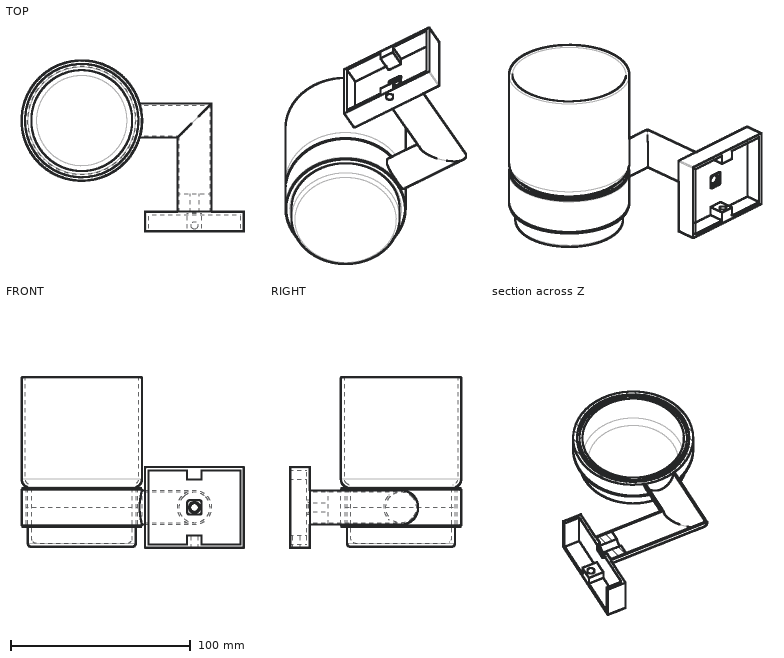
import cadquery as cq
import math


OVERALL_WIDTH = 123.6

TUMBLER_RADIUS = 33.5
NECK_RADIUS = 30.0
TUMBLER_WALL = 2.0
TUMBLER_TOP = 95.0
TUMBLER_BOTTOM = 0.6
SHOULDER_TOP = 38.3
SHOULDER_RADIUS = 5.0
NECK_FILLET = 1.0
BASE_FILLET = 1.9
FLOOR_THICKNESS = 2.0
FLOOR_FILLET = 3.0

PLATE_WIDTH = 55.0
PLATE_HEIGHT = 45.0
PLATE_DEPTH = 11.0
PLATE_WALL = 2.0
PLATE_FLOOR = 2.0
PLATE_EDGE = 0.5
PLATE_X = OVERALL_WIDTH - TUMBLER_RADIUS - PLATE_WIDTH / 2
WALL_Y = -61.5
BOSS_WIDTH = 8.0
BOSS_HEIGHT = 5.1
BOSS_HOLE_DIAMETER = 4.0
BOSS_HOLE_SETBACK = 3.3
SOCKET_SIZE = 8.0
SOCKET_CORNER = 1.5

AXIS_HEIGHT = PLATE_HEIGHT / 2
RING_HEIGHT = 19.9
RING_EDGE = 0.5
LINER_THICKNESS = 1.0
FLANGE_RADIUS = TUMBLER_RADIUS - RING_EDGE
RING_BORE_RADIUS = NECK_RADIUS + LINER_THICKNESS

ARM_RADIUS = 9.5
ARM_WALL = 1.0
ARM_BORE_RADIUS = ARM_RADIUS - ARM_WALL
PLUG_LENGTH = 9.9
SPIGOT_LENGTH = 1.0
SCREW_HOLE_DIAMETER = 5.0
SCREW_HOLE_CHAMFER = 0.5

PLATE_BACK_Y = WALL_Y + PLATE_DEPTH
PLATE_FLOOR_Y = PLATE_BACK_Y - PLATE_FLOOR


def arc_point(center, radius, degrees):
    """Point of a circle in the (radius, height) half-plane."""
    angle = math.radians(degrees)
    return (center[0] + radius * math.cos(angle), center[1] + radius * math.sin(angle))


def make_tumbler():
    shoulder_center = (TUMBLER_RADIUS - SHOULDER_RADIUS, SHOULDER_TOP)
    center_distance = SHOULDER_RADIUS + NECK_FILLET
    step = NECK_RADIUS + NECK_FILLET - shoulder_center[0]
    sweep = math.degrees(math.acos(step / center_distance))
    neck_center = (shoulder_center[0] + step, SHOULDER_TOP - math.sqrt(center_distance**2 - step**2))
    inner_shoulder = SHOULDER_RADIUS - TUMBLER_WALL
    inner_neck = NECK_FILLET + TUMBLER_WALL

    bore_radius = NECK_RADIUS - TUMBLER_WALL
    floor_z = TUMBLER_BOTTOM + FLOOR_THICKNESS
    base_center = (NECK_RADIUS - BASE_FILLET, TUMBLER_BOTTOM + BASE_FILLET)
    floor_center = (bore_radius - FLOOR_FILLET, floor_z + FLOOR_FILLET)
    rim_radius = TUMBLER_WALL / 2
    rim_center = (TUMBLER_RADIUS - rim_radius, TUMBLER_TOP - rim_radius)

    profile = (
        cq.Workplane("XZ")
        .moveTo(0, TUMBLER_BOTTOM)
        .lineTo(base_center[0], TUMBLER_BOTTOM)
        .threePointArc(arc_point(base_center, BASE_FILLET, -45), arc_point(base_center, BASE_FILLET, 0))
        .lineTo(NECK_RADIUS, neck_center[1])
        .threePointArc(
            arc_point(neck_center, NECK_FILLET, 180 - sweep / 2),
            arc_point(neck_center, NECK_FILLET, 180 - sweep),
        )
        .threePointArc(
            arc_point(shoulder_center, SHOULDER_RADIUS, -sweep / 2),
            arc_point(shoulder_center, SHOULDER_RADIUS, 0),
        )
        .lineTo(TUMBLER_RADIUS, rim_center[1])
        .threePointArc(arc_point(rim_center, rim_radius, 90), arc_point(rim_center, rim_radius, 180))
        .lineTo(TUMBLER_RADIUS - TUMBLER_WALL, SHOULDER_TOP)
        .threePointArc(
            arc_point(shoulder_center, inner_shoulder, -sweep / 2),
            arc_point(shoulder_center, inner_shoulder, -sweep),
        )
        .threePointArc(
            arc_point(neck_center, inner_neck, 180 - sweep / 2),
            arc_point(neck_center, inner_neck, 180),
        )
        .lineTo(bore_radius, floor_center[1])
        .threePointArc(arc_point(floor_center, FLOOR_FILLET, -45), arc_point(floor_center, FLOOR_FILLET, -90))
        .lineTo(0, floor_z)
        .close()
    )
    return profile.revolve(360, (0, 0, 0), (0, 1, 0))


def make_ring():
    return (
        cq.Workplane("XY", origin=(0, 0, AXIS_HEIGHT - RING_HEIGHT / 2))
        .circle(TUMBLER_RADIUS)
        .extrude(RING_HEIGHT)
        .edges()
        .fillet(RING_EDGE)
        .faces("<Z")
        .workplane()
        .circle(RING_BORE_RADIUS)
        .cutThruAll()
    )


def make_upper_liner():
    """Flanged sleeve in the upper half of the ring, with a rounded mouth."""
    sleeve_height = RING_HEIGHT / 2
    sleeve = cq.Workplane("XY", origin=(0, 0, AXIS_HEIGHT)).circle(RING_BORE_RADIUS).extrude(sleeve_height)
    flange = (
        cq.Workplane("XY", origin=(0, 0, AXIS_HEIGHT + sleeve_height))
        .circle(FLANGE_RADIUS)
        .extrude(LINER_THICKNESS)
    )
    bored = sleeve.union(flange).faces(">Z").workplane().circle(NECK_RADIUS).cutThruAll()
    return bored.faces(">Z").edges(cq.selectors.RadiusNthSelector(0)).fillet(NECK_FILLET)


def make_liners():
    """Two equal liners facing each other across the middle plane of the ring."""
    upper = make_upper_liner().val()
    liners = []
    for turn in (0, 180):
        liners.append(upper.rotate((0, 0, AXIS_HEIGHT), (1, 0, AXIS_HEIGHT), turn))
    return liners


def mitred_elbow(radius):
    """Round bar along +X from the tumbler axis, mitred into a leg towards the wall plate."""
    path = cq.Workplane("XY", origin=(0, 0, AXIS_HEIGHT)).polyline(
        [(0, 0), (PLATE_X, 0), (PLATE_X, PLATE_BACK_Y)]
    )
    return cq.Workplane("YZ", origin=(0, 0, AXIS_HEIGHT)).circle(radius).sweep(path, transition="right")


def make_arm():
    ring_envelope = cq.Workplane("XY").circle(TUMBLER_RADIUS).extrude(PLATE_HEIGHT)
    return mitred_elbow(ARM_RADIUS).cut(mitred_elbow(ARM_BORE_RADIUS)).cut(ring_envelope)


def socket_prism(start_y, length):
    """Square bar with rounded corners on the arm axis, running from start_y towards the wall."""
    return (
        cq.Workplane("XZ", origin=(PLATE_X, start_y, AXIS_HEIGHT))
        .rect(SOCKET_SIZE, SOCKET_SIZE)
        .extrude(length)
        .edges("|Y")
        .fillet(SOCKET_CORNER)
    )


def make_plug():
    """End plug of the arm, with a square spigot that enters the wall plate."""
    body = (
        cq.Workplane("XZ", origin=(PLATE_X, PLATE_BACK_Y + PLUG_LENGTH, AXIS_HEIGHT))
        .circle(ARM_BORE_RADIUS)
        .extrude(PLUG_LENGTH)
    )
    return (
        body.union(socket_prism(PLATE_BACK_Y, SPIGOT_LENGTH))
        .faces("<Y")
        .workplane()
        .hole(SCREW_HOLE_DIAMETER)
        .faces("<Y")
        .edges("%CIRCLE")
        .edges(cq.selectors.RadiusNthSelector(-1))
        .chamfer(SCREW_HOLE_CHAMFER)
    )


def make_plate():
    def block(width, height, start_y, end_y, center_z):
        return (
            cq.Workplane("XZ", origin=(PLATE_X, start_y, center_z))
            .rect(width, height)
            .extrude(start_y - end_y)
        )

    inner_width = PLATE_WIDTH - 2 * PLATE_WALL
    inner_height = PLATE_HEIGHT - 2 * PLATE_WALL
    plate = block(PLATE_WIDTH, PLATE_HEIGHT, PLATE_BACK_Y, WALL_Y, AXIS_HEIGHT)
    plate = plate.edges("|Y").fillet(PLATE_EDGE)
    plate = plate.cut(block(inner_width, inner_height, PLATE_FLOOR_Y, WALL_Y, AXIS_HEIGHT))

    boss_offset = (inner_height - BOSS_HEIGHT) / 2
    for side in (-1, 1):
        boss_z = AXIS_HEIGHT + side * boss_offset
        plate = plate.union(block(BOSS_WIDTH, BOSS_HEIGHT, PLATE_FLOOR_Y, WALL_Y, boss_z))

    screw_hole = (
        cq.Workplane("XY", origin=(PLATE_X, WALL_Y + BOSS_HOLE_SETBACK, 0))
        .circle(BOSS_HOLE_DIAMETER / 2)
        .extrude(PLATE_WALL + BOSS_HEIGHT)
    )
    return plate.cut(screw_hole).cut(socket_prism(PLATE_BACK_Y, PLATE_FLOOR))


tumbler = make_tumbler()
ring = make_ring()
liners = make_liners()
arm = make_arm()
plug = make_plug()
plate = make_plate()

result = cq.Compound.makeCompound(
    [tumbler.val(), ring.val(), *liners, arm.val(), plug.val(), plate.val()]
)